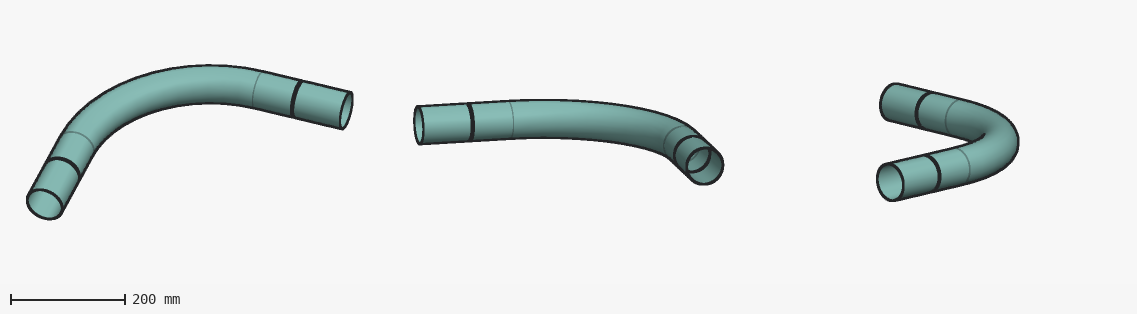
import cadquery as cq

overall_length = 446.5
outer_diameter = 67.0
wall = 1.5
straight_length = 163.0
groove_offset = 87.5
groove_width = 4.0
groove_depth = 0.5
ridge_height = 1.1

outer_radius = outer_diameter / 2
inner_radius = outer_radius - wall
bend_radius = overall_length - straight_length - outer_radius
bend_center_y = straight_length
far_axis_y = bend_center_y + bend_radius

near_end = cq.Plane(origin=(outer_radius, 0, 0), xDir=(1, 0, 0), normal=(0, 1, 0))
far_end = cq.Plane(origin=(overall_length, far_axis_y, 0), xDir=(0, 1, 0), normal=(-1, 0, 0))


def bent_rod(radius):
    """Solid rod following the pipe axis: straight, 90 degree bend, straight."""
    near_leg = cq.Workplane(near_end).circle(radius).extrude(straight_length)
    far_leg = cq.Workplane(far_end).circle(radius).extrude(straight_length)
    bend = (
        cq.Workplane("XZ", origin=(outer_radius, bend_center_y, 0))
        .circle(radius)
        .revolve(90, (bend_radius, 0, 0), (bend_radius, -1, 0))
    )
    return near_leg.union(bend).union(far_leg)


def v_ring(end, base_radius, depth):
    """Ring of triangular section, pointing inward from base_radius."""
    return (
        cq.Workplane(cq.Plane(origin=end.origin, xDir=end.xDir, normal=(0, 0, 1)))
        .polyline(v_section(end, base_radius, depth))
        .close()
        .revolve(360, (0, 0, 0), (0, 1, 0))
    )


def v_section(end, base_radius, depth):
    """Corners of the V section as (radius, distance along the leg)."""
    inward = end.zDir.dot(cq.Vector(0, 0, 1).cross(end.xDir))
    return [
        (base_radius, inward * groove_offset),
        (base_radius - depth, inward * (groove_offset + groove_width / 2)),
        (base_radius, inward * (groove_offset + groove_width)),
    ]


bore = bent_rod(inner_radius)
for end in (near_end, far_end):
    bore = bore.cut(v_ring(end, inner_radius, ridge_height))

result = bent_rod(outer_radius).cut(bore)
for end in (near_end, far_end):
    result = result.cut(v_ring(end, outer_radius, groove_depth))